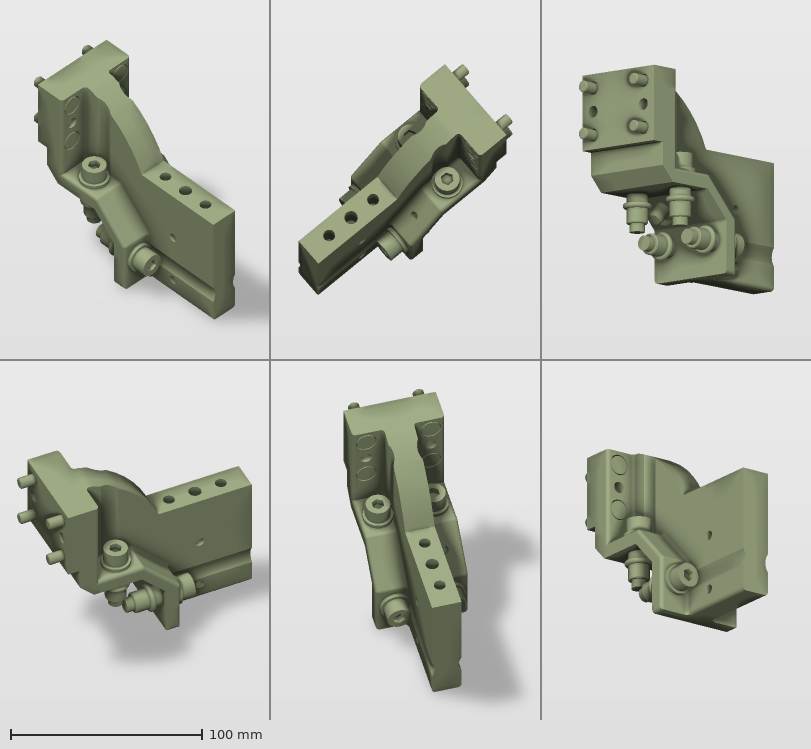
import cadquery as cq
import math


WIDTH = 50.0
HEIGHT = 103.0
STEP_X = 7.0
STEP_Z = 63.0
PLATE_BACK_X = 18.05
SHELF_BOTTOM_Z = 42.8
SHELF_THICKNESS = 8.0
FOOT_FRONT_X = 57.2
FOOT_THICKNESS = 8.0
HEEL_CHAMFER = 8.0
SLOPE_BOTTOM_SUM = 85.5
SLOPE_THICKNESS = 6.6
FOOT_CORNER_RADIUS = 1.5
EDGE_RADIUS = 2.0

WEB_THICKNESS = 16.0
WEB_END_X = 114.2
WEB_TOP_Z = 68.0
WEB_ARC_START_X = 21.2
WEB_ARC_END_X = 60.5
WEB_ARC_RADIUS = 64.0
WEB_CREST_RADIUS = 10.0

CROSS_HOLE_DIAMETER = 5.0
CROSS_HOLE_X = WEB_END_X - 30.0
CROSS_HOLE_Z = (9.0, 39.0)
TOP_HOLE_X = 85.1
TOP_HOLE_PITCH = 15.0
TOP_HOLE_DIAMETER = 6.2
TOP_CENTER_HOLE_DIAMETER = 7.0
TOP_HOLE_DEPTH = 20.0

MOUNT_Y = 17.5
MOUNT_Z = 83.0
MOUNT_PITCH_Z = 12.5
DOWEL_HOLE_DIAMETER = 6.2
MOUNT_CLEARANCE_DIAMETER = 7.0
MOUNT_SCREW_DIAMETER = 6.0
MOUNT_SCREW_PROJECTION = 8.2
MOUNT_TIP_CHAMFER = 0.5
MOUNT_HEAD_DIAMETER = 10.0
MOUNT_HEAD_HEIGHT = 6.0
MOUNT_COUNTERBORE_DIAMETER = 11.2

SCREW_Y = 15.0
SHELF_SCREW_X = 32.1
FOOT_SCREW_Z = 18.1
WASHER_DIAMETER = 16.0
WASHER_THICKNESS = 2.2
HEAD_DIAMETER = 12.9
HEAD_HEIGHT = 8.1
SOCKET_FLATS = 6.0
SOCKET_TURN = 30.0
SOCKET_DEPTH = 4.0
SLEEVE_DIAMETER = 11.3
SLEEVE_LENGTH = 15.5
SLEEVE_CHAMFER = 0.5
TIP_DIAMETER = 8.0
TIP_LENGTH = 19.9
RING_OFFSET = 6.0
RING_SECTION_RADIUS = 1.5
RING_OUTER_DIAMETER = 15.1
RELIEF_DIAMETER = 17.2

STOP_COUNTERBORE_DIAMETER = 16.0
STOP_COUNTERBORE_DEPTH = 4.0
STOP_DIAMETER = 8.0
STOP_PROJECTION = 5.8
STOP_TIP_CHAMFER = 1.2
STOP_TIP_DIAMETER = 6.0
STOP_HOLE_DIAMETER = 4.4

SHELF_TOP_Z = SHELF_BOTTOM_Z + SHELF_THICKNESS
FOOT_BACK_X = FOOT_FRONT_X + FOOT_THICKNESS
SLOPE_TOP_SUM = SLOPE_BOTTOM_SUM + SLOPE_THICKNESS * math.sqrt(2)
QUARTER_TURN = 90.0
TOLERANCE = 0.01
CUT_MARGIN = 1.0

HEEL = (PLATE_BACK_X, SHELF_TOP_Z)
FOOT_TOP = (FOOT_FRONT_X, SLOPE_BOTTOM_SUM - FOOT_FRONT_X)
UNDERSIDE = [
    (FOOT_FRONT_X, 0),
    FOOT_TOP,
    (SLOPE_BOTTOM_SUM - SHELF_BOTTOM_Z, SHELF_BOTTOM_Z),
    (STEP_X + HEEL_CHAMFER, SHELF_BOTTOM_Z),
    (STEP_X, SHELF_BOTTOM_Z + HEEL_CHAMFER),
]


def cylinder(diameter, length, start, direction):
    """Cylinder from a start point along a direction."""
    solid = cq.Solid.makeCylinder(diameter / 2, length, cq.Vector(*start), cq.Vector(*direction))
    return cq.Workplane(solid)


def round_fold(body, corner, radius):
    """Fillet the edge that runs along Y through the (x, z) corner."""
    x, z = corner
    return body.edges(cq.selectors.NearestToPointSelector((x, 0, z))).fillet(radius)


def make_bracket():
    """Plate, shelf, sloping wall and foot as one folded section."""
    slope_ends = [
        (SLOPE_TOP_SUM - SHELF_TOP_Z, SHELF_TOP_Z),
        (FOOT_BACK_X, SLOPE_TOP_SUM - FOOT_BACK_X),
    ]
    outline = UNDERSIDE + [
        (STEP_X, STEP_Z),
        (0, STEP_Z),
        (0, HEIGHT),
        (PLATE_BACK_X, HEIGHT),
        HEEL,
        *slope_ends,
        (FOOT_BACK_X, 0),
    ]
    body = cq.Workplane("XZ").polyline(outline).close().extrude(WIDTH / 2, both=True)
    body = round_fold(body, FOOT_TOP, FOOT_CORNER_RADIUS)
    for corner in slope_ends:
        body = round_fold(body, corner, EDGE_RADIUS)
    return body


def make_web(thickness):
    """Central rib with an arched top and a straight tail block."""
    profile = (
        cq.Workplane("XZ")
        .moveTo(STEP_X, HEIGHT)
        .lineTo(WEB_ARC_START_X, HEIGHT)
        .radiusArc((WEB_ARC_END_X, WEB_TOP_Z), WEB_ARC_RADIUS)
        .lineTo(WEB_END_X, WEB_TOP_Z)
        .lineTo(WEB_END_X, 0)
    )
    for point in UNDERSIDE:
        profile = profile.lineTo(*point)
    web = profile.close().extrude(thickness / 2, both=True)
    return round_fold(web, FOOT_TOP, FOOT_CORNER_RADIUS)


def edges_in_plane(body, y, region):
    """Edges of the body lying at +Y or -Y whose middle (x, z) is in the region."""
    picked = []
    for edge in body.edges().vals():
        middle = edge.positionAt(0.5)
        along_y = edge.BoundingBox().ylen > TOLERANCE
        if not along_y and abs(abs(middle.y) - y) < TOLERANCE and region(middle.x, middle.z):
            picked.append(edge)
    return body.newObject(picked)


def on_back(x, z):
    """True on the rear line of the folded section, fold roundings included."""
    on_plate = abs(x - PLATE_BACK_X) < TOLERANCE
    on_shelf = abs(z - SHELF_TOP_Z) < TOLERANCE
    on_slope = abs(x + z - SLOPE_TOP_SUM) < EDGE_RADIUS
    on_foot = abs(x - FOOT_BACK_X) < TOLERANCE
    return on_plate or on_shelf or on_slope or on_foot


def on_back_or_bottom(x, z):
    return on_back(x, z) or abs(z) < TOLERANCE


def round_crest_of_web(body):
    """Blend the flat top into the arc, across the web and its side fillets."""
    sharp = make_web(WEB_THICKNESS + 2 * EDGE_RADIUS)
    rounded = round_fold(sharp, (WEB_ARC_START_X, HEIGHT), WEB_CREST_RADIUS)
    return body.cut(sharp.cut(rounded))


def round_bottom_of_web(body):
    """Round the two lower edges of the web behind the foot."""
    side = WEB_THICKNESS / 2
    start_x = FOOT_BACK_X + EDGE_RADIUS
    corner = (
        cq.Workplane("YZ", origin=(start_x, 0, 0))
        .moveTo(side - EDGE_RADIUS, 0)
        .lineTo(side, 0)
        .lineTo(side, EDGE_RADIUS)
        .radiusArc((side - EDGE_RADIUS, 0), EDGE_RADIUS)
        .close()
        .extrude(WEB_END_X - start_x)
    )
    return body.cut(corner).cut(corner.mirror("XZ"))


def cut_web_holes(body):
    for z in CROSS_HOLE_Z:
        start = (CROSS_HOLE_X, -WEB_THICKNESS / 2, z)
        body = body.cut(cylinder(CROSS_HOLE_DIAMETER, WEB_THICKNESS, start, (0, 1, 0)))
    for step in (-1, 0, 1):
        diameter = TOP_HOLE_DIAMETER if step else TOP_CENTER_HOLE_DIAMETER
        top = (TOP_HOLE_X + step * TOP_HOLE_PITCH, 0, WEB_TOP_Z)
        body = body.cut(cylinder(diameter, TOP_HOLE_DEPTH, top, (0, 0, -1)))
    return body


def add_mounting_screws(body):
    """Four screws through the plate, with a dowel hole between each pair."""
    head_seat_x = PLATE_BACK_X - MOUNT_HEAD_HEIGHT
    for y in (-MOUNT_Y, MOUNT_Y):
        body = body.cut(cylinder(DOWEL_HOLE_DIAMETER, PLATE_BACK_X, (0, y, MOUNT_Z), (1, 0, 0)))
        for z in (MOUNT_Z - MOUNT_PITCH_Z, MOUNT_Z + MOUNT_PITCH_Z):
            seat = (head_seat_x, y, z)
            shank_length = head_seat_x + MOUNT_SCREW_PROJECTION
            body = body.cut(cylinder(MOUNT_CLEARANCE_DIAMETER, head_seat_x, seat, (-1, 0, 0)))
            body = body.cut(cylinder(MOUNT_COUNTERBORE_DIAMETER, MOUNT_HEAD_HEIGHT, seat, (1, 0, 0)))
            shank = cylinder(MOUNT_SCREW_DIAMETER, shank_length, seat, (-1, 0, 0))
            shank = shank.faces("<X").chamfer(MOUNT_TIP_CHAMFER)
            head = cylinder(MOUNT_HEAD_DIAMETER, MOUNT_HEAD_HEIGHT, seat, (1, 0, 0))
            body = body.union(head.union(shank))
    return body


def make_socket_screw(wall_thickness):
    """Screw along Z; the washer sits on Z = 0 and the wall lies below it."""
    washer = cylinder(WASHER_DIAMETER, WASHER_THICKNESS, (0, 0, 0), (0, 0, 1))
    head = cylinder(HEAD_DIAMETER, HEAD_HEIGHT, (0, 0, WASHER_THICKNESS), (0, 0, 1))
    socket = (
        cq.Workplane("XY", origin=(0, 0, WASHER_THICKNESS + HEAD_HEIGHT))
        .polygon(6, SOCKET_FLATS, circumscribed=True)
        .extrude(-SOCKET_DEPTH)
        .rotate((0, 0, 0), (0, 0, 1), SOCKET_TURN)
    )
    sleeve = cylinder(SLEEVE_DIAMETER, SLEEVE_LENGTH, (0, 0, -wall_thickness), (0, 0, -1))
    sleeve = sleeve.faces("<Z or >Z").chamfer(SLEEVE_CHAMFER)
    tip = cylinder(TIP_DIAMETER, wall_thickness + TIP_LENGTH, (0, 0, 0), (0, 0, -1))
    ring = cq.Workplane(
        cq.Solid.makeTorus(
            RING_OUTER_DIAMETER / 2 - RING_SECTION_RADIUS,
            RING_SECTION_RADIUS,
            cq.Vector(0, 0, -wall_thickness - RING_OFFSET),
        )
    )
    return washer.union(head).cut(socket).union(tip).union(sleeve).union(ring)


def add_socket_screws(body):
    """Two screws through the shelf and two through the foot, with web reliefs."""
    shelf_screw = make_socket_screw(SHELF_THICKNESS)
    foot_screw = make_socket_screw(FOOT_THICKNESS).rotate((0, 0, 0), (0, 1, 0), QUARTER_TURN)
    for y in (-SCREW_Y, SCREW_Y):
        shelf_seat = (SHELF_SCREW_X, y, SHELF_TOP_Z)
        foot_seat = (FOOT_BACK_X, y, FOOT_SCREW_Z)
        body = body.cut(cylinder(RELIEF_DIAMETER, HEIGHT - SHELF_TOP_Z, shelf_seat, (0, 0, 1)))
        body = body.cut(cylinder(RELIEF_DIAMETER, WEB_END_X - FOOT_BACK_X, foot_seat, (1, 0, 0)))
        body = body.union(shelf_screw.translate(shelf_seat))
        body = body.union(foot_screw.translate(foot_seat))
    return body


def add_stop_pin(body):
    """Pin square to the sloping wall, standing in a counterbore on its underside."""
    inward = (1, 0, 1)
    outward = (-1, 0, -1)
    x = (FOOT_FRONT_X + SLOPE_BOTTOM_SUM - SHELF_BOTTOM_Z) / 2
    mouth = cq.Vector(x, SCREW_Y, SLOPE_BOTTOM_SUM - x)
    axis = cq.Vector(*inward).normalized()
    floor = (mouth + axis * STOP_COUNTERBORE_DEPTH).toTuple()
    top = (mouth + axis * (SLOPE_THICKNESS + CUT_MARGIN)).toTuple()
    counterbore = cylinder(STOP_COUNTERBORE_DIAMETER, STOP_COUNTERBORE_DEPTH, mouth.toTuple(), inward)
    body = body.cut(counterbore)
    pin = cylinder(STOP_DIAMETER, STOP_COUNTERBORE_DEPTH + STOP_PROJECTION, floor, outward)
    tip_edge = cq.selectors.DirectionMinMaxSelector(axis, False)
    pin = pin.faces(tip_edge).chamfer(STOP_TIP_CHAMFER, (STOP_DIAMETER - STOP_TIP_DIAMETER) / 2)
    body = body.union(pin)
    return body.cut(cylinder(STOP_HOLE_DIAMETER, SLOPE_THICKNESS + CUT_MARGIN, top, outward))


bracket = make_bracket()
bracket = edges_in_plane(bracket, WIDTH / 2, on_back_or_bottom).fillet(EDGE_RADIUS)
body = bracket.union(make_web(WEB_THICKNESS))
body = edges_in_plane(body, WEB_THICKNESS / 2, on_back).fillet(EDGE_RADIUS)
body = round_crest_of_web(body)
body = round_bottom_of_web(body)
body = cut_web_holes(body)
body = add_mounting_screws(body)
body = add_stop_pin(body)
result = add_socket_screws(body)